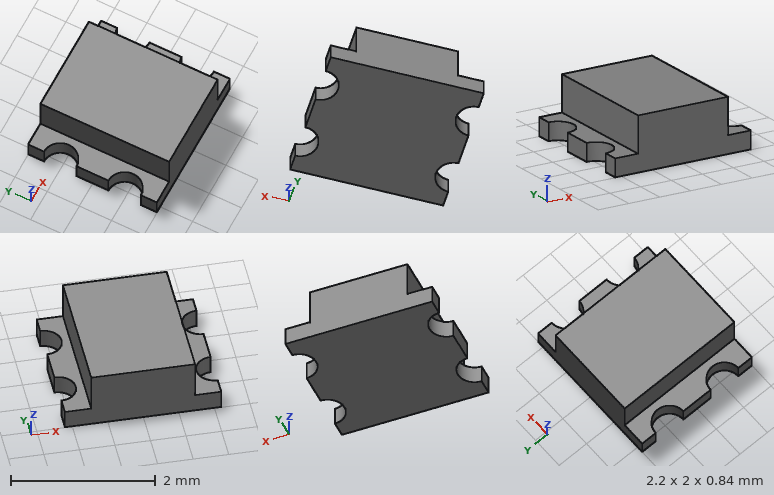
import cadquery as cq

base_length = 2.2
base_width = 2.0
base_height = 0.28

body_length = 1.46
total_height = 0.84
body_height = total_height - base_height

notch_radius = 0.25
notch_spacing = base_width / 2


def make_base():
    """Plate with two notches in each X end."""
    plate = cq.Workplane("XY").box(base_length, base_width, base_height, centered=(True, True, False))
    notches = (
        cq.Workplane("XY")
        .rarray(base_length, notch_spacing, 2, 2)
        .circle(notch_radius)
        .extrude(base_height)
    )
    return plate.cut(notches)


def make_body():
    """Plain block standing on the plate."""
    return (
        cq.Workplane("XY")
        .workplane(offset=base_height)
        .box(body_length, base_width, body_height, centered=(True, True, False))
    )


result = make_base().union(make_body())